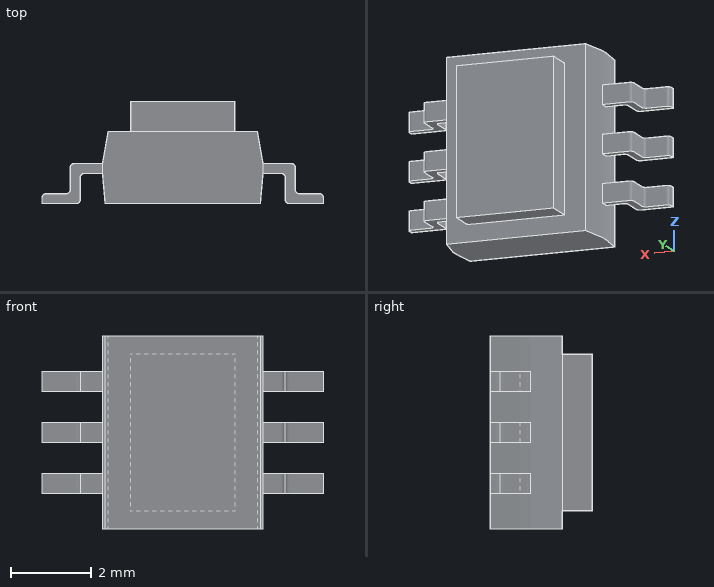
import cadquery as cq
import math

body_width = 4.0
body_depth = 1.8
body_height = 4.8
front_draft = math.radians(5)
rear_draft = math.radians(10)

overall_depth = 2.55
block_width = 2.6
block_height = 3.9

lead_span = 7.0
lead_width = 0.505
lead_thickness = 0.25
lead_pitch = 1.27
leads_per_side = 3
shoulder_depth = 1.0
foot_length = 0.7
bend_radius = 0.1


def make_body():
    """Body with a straight band at lead level and drafted sides before and behind it."""
    half_width = body_width / 2
    band_front = shoulder_depth - lead_thickness
    band_rear = shoulder_depth
    front_half_width = half_width - band_front * math.tan(front_draft)
    rear_half_width = half_width - (body_depth - band_rear) * math.tan(rear_draft)
    right_side = [
        (front_half_width, 0),
        (half_width, band_front),
        (half_width, band_rear),
        (rear_half_width, body_depth),
    ]
    left_side = [(-x, y) for x, y in reversed(right_side)]
    outline = cq.Workplane("XY").polyline(right_side + left_side).close()
    return outline.extrude(body_height / 2, both=True)


def make_block():
    """Rectangular block standing on the rear face, centred on the body."""
    block_depth = overall_depth - body_depth
    return (
        cq.Workplane("XY")
        .box(block_width, block_depth, block_height)
        .translate((0, body_depth + block_depth / 2, 0))
    )


def make_lead():
    """One lead on the +X side, centred on Z = 0, with its inner end at the body's band."""
    root_x = body_width / 2
    toe_x = lead_span / 2
    leg_outer_x = toe_x - foot_length
    leg_inner_x = leg_outer_x - lead_thickness
    outline = [
        (root_x, shoulder_depth),
        (leg_outer_x, shoulder_depth),
        (leg_outer_x, lead_thickness),
        (toe_x, lead_thickness),
        (toe_x, 0),
        (leg_inner_x, 0),
        (leg_inner_x, shoulder_depth - lead_thickness),
        (root_x, shoulder_depth - lead_thickness),
    ]
    lead = cq.Workplane("XY").polyline(outline).close().extrude(lead_width / 2, both=True)

    rounded_corners = outline[1:4] + outline[5:7]
    for x, y in rounded_corners:
        edge = cq.selectors.NearestToPointSelector((x, y, 0))
        lead = lead.edges("|Z").edges(edge).fillet(bend_radius)
    return lead


result = make_body().union(make_block())

lead = make_lead()
mirrored_lead = lead.mirror("YZ")
for index in range(leads_per_side):
    lead_z = (index - (leads_per_side - 1) / 2) * lead_pitch
    result = result.union(lead.translate((0, 0, lead_z)))
    result = result.union(mirrored_lead.translate((0, 0, lead_z)))